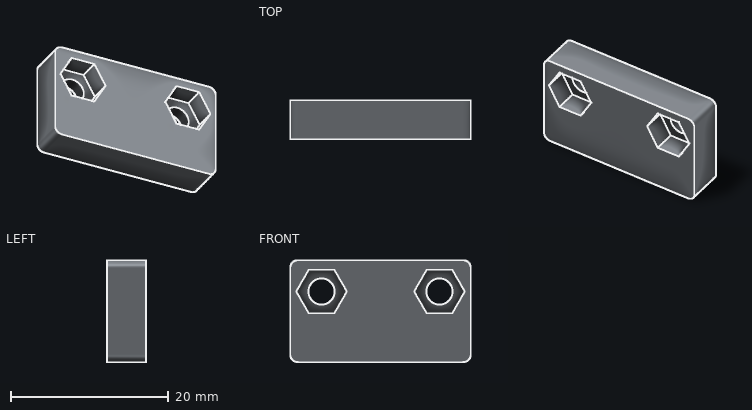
import cadquery as cq

width = 23.0
thickness = 5.0
height = 13.0
corner_radius = 1.0

hole_diameter = 3.3
hole_edge_distance = 4.0
nut_corner_diameter = 6.45
nut_pocket_depth = 3.0

hole_x = width / 2 - hole_edge_distance
hole_z = height / 2 - hole_edge_distance
hole_centres = [(-hole_x, hole_z), (hole_x, hole_z)]


def make_plate():
    """Plate centred on the origin, its corners rounded along Y."""
    plate = cq.Workplane("XY").box(width, thickness, height)
    return plate.edges("|Y").fillet(corner_radius)


def hole_centres_on_front_face():
    """Hole centres on the -Y face; the plane normal points out of the part."""
    return cq.Workplane("XZ", origin=(0, -thickness / 2, 0)).pushPoints(hole_centres)


def make_screw_holes():
    return hole_centres_on_front_face().circle(hole_diameter / 2).extrude(-thickness)


def make_nut_pockets():
    """Hexagons with two corners pointing along X."""
    return hole_centres_on_front_face().polygon(6, nut_corner_diameter).extrude(-nut_pocket_depth)


result = make_plate().cut(make_screw_holes()).cut(make_nut_pockets())